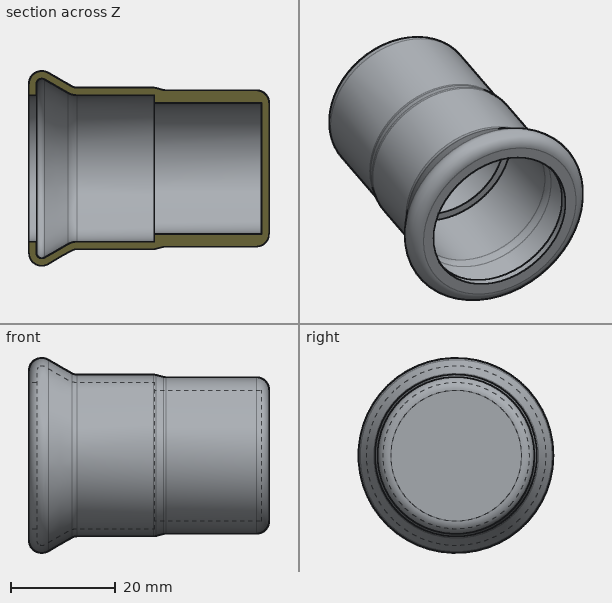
import math

import cadquery as cq

length = 46.0
wall = 1.5

bead_radius = 18.675
socket_radius = 31.0 / 2
spigot_radius = 30.0 / 2

bead_round = 2.5
bead_cone_angle = math.radians(30)
neck_round = 2.0

shoulder_center = 25.0
shoulder_angle = math.radians(15)
shoulder_round = 2.0

end_round = 2.5

socket_bore_radius = socket_radius - wall
stop_bore_radius = socket_bore_radius - wall
stop_depth = 24.0
floor_x = length - wall

bead_center = (bead_round, bead_radius - bead_round)
bead_arc_middle = (bead_cone_angle - math.pi / 2) / 2


def arc_reach(radius, angle):
    """Axial and radial reach of an arc that turns from the axis direction by the angle."""
    return radius * math.sin(angle), radius * (1 - math.cos(angle))


def around(center, radius, angle):
    """Point on a circle, with the angle measured from the radial direction towards +X."""
    return center[0] + radius * math.sin(angle), center[1] + radius * math.cos(angle)


cone_start = around(bead_center, bead_round, bead_cone_angle)
neck_reach, neck_drop = arc_reach(neck_round, bead_cone_angle)
cone_length_x = (cone_start[1] - socket_radius - neck_drop) / math.tan(bead_cone_angle)
neck_center = (cone_start[0] + cone_length_x + neck_reach, socket_radius + neck_round)


def neck_point(radius, angle):
    """Point on the neck round, with the angle measured from its end on the straight tube."""
    return neck_center[0] - radius * math.sin(angle), neck_center[1] - radius * math.cos(angle)


def make_outside():
    """Solid envelope: bead, cone, socket tube, shoulder, spigot and rounded closed end."""
    reach, drop = arc_reach(shoulder_round, shoulder_angle)
    radial_step = socket_radius - spigot_radius
    shoulder_half = reach + (radial_step - 2 * drop) / math.tan(shoulder_angle) / 2
    shoulder_start = shoulder_center - shoulder_half
    shoulder_end = shoulder_center + shoulder_half
    half_reach, half_drop = arc_reach(shoulder_round, shoulder_angle / 2)
    end_center = (length - end_round, spigot_radius - end_round)

    profile = (
        cq.Workplane("XY")
        .moveTo(0, 0)
        .lineTo(0, bead_center[1])
        .threePointArc(around(bead_center, bead_round, bead_arc_middle), cone_start)
        .lineTo(*neck_point(neck_round, bead_cone_angle))
        .threePointArc(neck_point(neck_round, bead_cone_angle / 2), neck_point(neck_round, 0))
        .lineTo(shoulder_start, socket_radius)
        .threePointArc(
            (shoulder_start + half_reach, socket_radius - half_drop),
            (shoulder_start + reach, socket_radius - drop),
        )
        .lineTo(shoulder_end - reach, spigot_radius + drop)
        .threePointArc(
            (shoulder_end - half_reach, spigot_radius + half_drop),
            (shoulder_end, spigot_radius),
        )
        .lineTo(end_center[0], spigot_radius)
        .threePointArc(around(end_center, end_round, math.pi / 4), (length, end_center[1]))
        .lineTo(length, 0)
        .close()
    )
    return profile.revolve(360, (0, 0, 0), (1, 0, 0))


def make_cavity():
    """Mouth lip, seal groove inside the bead, socket bore, stop and closed spigot bore."""
    groove_round = bead_round - wall
    bore_neck_round = neck_round + wall
    profile = (
        cq.Workplane("XY")
        .moveTo(0, 0)
        .lineTo(0, socket_bore_radius)
        .lineTo(wall, socket_bore_radius)
        .lineTo(wall, bead_center[1])
        .threePointArc(
            around(bead_center, groove_round, bead_arc_middle),
            around(bead_center, groove_round, bead_cone_angle),
        )
        .lineTo(*neck_point(bore_neck_round, bead_cone_angle))
        .threePointArc(neck_point(bore_neck_round, bead_cone_angle / 2), neck_point(bore_neck_round, 0))
        .lineTo(stop_depth, socket_bore_radius)
        .lineTo(stop_depth, stop_bore_radius)
        .lineTo(floor_x, stop_bore_radius)
        .lineTo(floor_x, 0)
        .close()
    )
    return profile.revolve(360, (0, 0, 0), (1, 0, 0))


result = make_outside().cut(make_cavity())